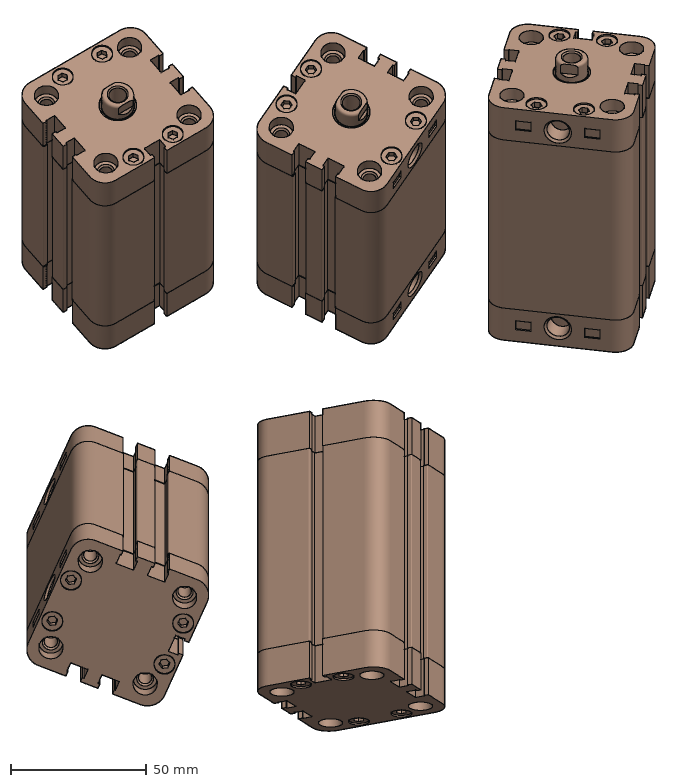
import cadquery as cq
import math

WIDTH = 54.8
HALF = WIDTH / 2
CORNER_RADIUS = 7.0
CAP_HEIGHT = 14.6
BARREL_LENGTH = 76.0
BARREL_TOP = CAP_HEIGHT + BARREL_LENGTH
TOTAL_HEIGHT = 112.0

SLOT_CENTRE = 6.3
SLOT_WIDTH = 7.0
LIP_DEPTH = 1.8
MOUTH = 5.5
CAP_MOUTH_WIDENING = 0.3
CAP_SLOT_DEPTH = 5.6
BARREL_SLOT_DEPTH = 5.4
BARREL_LIP_RADIUS = 0.3

MOUNT_OFFSET = 18.9
MOUNT_COUNTERBORE = 9.0
MOUNT_COUNTERBORE_DEPTH = 5.2
MOUNT_CHAMFER = 6.3
MOUNT_HOLE = 4.9

SCREW_X = 22.5
SCREW_Y = 9.0
SCREW_RECESS = 7.7
SCREW_RECESS_DEPTH = 0.7
SCREW_SOCKET_FLATS = 3.5
SCREW_SOCKET_DEPTH = 2.2

PORT_DROP = 8.2
PORT_HOLE = 8.5
PORT_MOUTH = 10.3
PORT_CHAMFER_DEPTH = 0.9
PORT_FLOOR_DIAMETER = 40.0
LABEL_OFFSET = 13.0
LABEL_DROP = 7.4
LABEL_WIDTH = 5.7
LABEL_HEIGHT = 4.0
LABEL_DEPTH = 0.7

ROD_DIAMETER = 12.0
ROD_EDGE_RADIUS = 1.0
ROD_FLATS = 10.1
ROD_FLAT_LENGTH = 4.3
ROD_HOLE = 6.6
ROD_HOLE_MOUTH = 7.7
ROD_HOLE_DEPTH = 16.8
BORE_FLARE = 12.5
BORE_RECESS = 13.7
BORE_RECESS_DEPTH = 0.3
BORE_RECESS_MOUTH = 14.0


def cone(base_diameter, top_diameter, height, base):
    """Upright frustum standing on the height `base`."""
    lower_end = cq.Workplane("XY", origin=(0, 0, base)).circle(base_diameter / 2)
    return lower_end.workplane(offset=height).circle(top_diameter / 2).loft()


def slot_cutter(depth, length, widening=0, lip_radius=0):
    """T-shaped slot with its mouth on the +Y face, the mouth optionally widened toward +X or rounded."""
    channel = cq.Workplane("XY").rect(SLOT_WIDTH, depth - LIP_DEPTH).extrude(length)
    channel = channel.translate((0, HALF - (depth + LIP_DEPTH) / 2, 0))
    left = -MOUTH / 2
    right = MOUTH / 2 + widening
    lip_bottom = HALF - LIP_DEPTH
    neck = cq.Workplane("XY").moveTo(left, lip_bottom).lineTo(right, lip_bottom)
    if lip_radius:
        tangent = HALF - lip_radius
        neck = (
            neck.lineTo(right, tangent)
            .radiusArc((right + lip_radius, HALF), lip_radius)
            .lineTo(left - lip_radius, HALF)
            .radiusArc((left, tangent), lip_radius)
        )
    else:
        neck = neck.lineTo(right, HALF).lineTo(left, HALF)
    return channel.union(neck.close().extrude(length))


def slotted_block(length, slot_depth, widening=0, lip_radius=0):
    """Rounded square prism standing on Z = 0 with the five sensor slots along it."""
    block = cq.Workplane("XY").rect(WIDTH, WIDTH).extrude(length)
    block = block.edges("|Z").fillet(CORNER_RADIUS)
    right_slot = slot_cutter(slot_depth, length, widening, lip_radius).translate((SLOT_CENTRE, 0, 0))
    left_slot = right_slot.mirror("YZ")
    for slot in (right_slot, left_slot):
        block = block.cut(slot).cut(slot.mirror("XZ"))
    side_slot = slot_cutter(slot_depth, length, lip_radius=lip_radius)
    return block.cut(side_slot.rotate((0, 0, 0), (0, 0, 1), -90))


def mount_hole():
    """Counterbored through hole on the Z axis, for a cap standing on Z = 0."""
    floor = CAP_HEIGHT - MOUNT_COUNTERBORE_DEPTH
    chamfer = (MOUNT_CHAMFER - MOUNT_HOLE) / 2
    hole = cq.Workplane("XY").circle(MOUNT_HOLE / 2).extrude(CAP_HEIGHT)
    counterbore = cq.Workplane("XY", origin=(0, 0, floor)).circle(MOUNT_COUNTERBORE / 2)
    return hole.union(counterbore.extrude(MOUNT_COUNTERBORE_DEPTH)).union(
        cone(MOUNT_HOLE, MOUNT_CHAMFER, chamfer, floor - chamfer)
    )


def screw_head_recess():
    """Round recess down to the screw head, with the hexagon socket below it."""
    head_top = CAP_HEIGHT - SCREW_RECESS_DEPTH
    recess = cq.Workplane("XY", origin=(0, 0, head_top)).circle(SCREW_RECESS / 2)
    recess = recess.extrude(SCREW_RECESS_DEPTH)
    across_corners = SCREW_SOCKET_FLATS / math.cos(math.pi / 6)
    socket = cq.Workplane("XY").polygon(6, across_corners).extrude(SCREW_SOCKET_DEPTH)
    socket = socket.rotate((0, 0, 0), (0, 0, 1), 90)
    return recess.union(socket.translate((0, 0, head_top - SCREW_SOCKET_DEPTH)))


def air_port():
    """Chamfered port from the -X face in to a convex cylindrical floor."""
    chamfer = cone(PORT_MOUTH, PORT_HOLE, PORT_CHAMFER_DEPTH, -HALF)
    drill = cq.Workplane("XY", origin=(0, 0, -HALF)).circle(PORT_HOLE / 2).extrude(HALF)
    port = drill.union(chamfer).rotate((0, 0, 0), (0, 1, 0), 90)
    port = port.translate((0, 0, CAP_HEIGHT - PORT_DROP))
    return port.cut(cq.Workplane("XY").circle(PORT_FLOOR_DIAMETER / 2).extrude(CAP_HEIGHT))


def cap():
    """End cap with its outer face up at Z = CAP_HEIGHT."""
    body = slotted_block(CAP_HEIGHT, CAP_SLOT_DEPTH, widening=CAP_MOUTH_WIDENING)
    for x_side in (-1, 1):
        for y_side in (-1, 1):
            body = body.cut(mount_hole().translate((x_side * MOUNT_OFFSET, y_side * MOUNT_OFFSET, 0)))
            body = body.cut(screw_head_recess().translate((x_side * SCREW_X, y_side * SCREW_Y, 0)))
    body = body.cut(air_port())
    label = cq.Workplane("XY").box(LABEL_DEPTH, LABEL_WIDTH, LABEL_HEIGHT, centered=(False, True, True))
    for y in (-LABEL_OFFSET, LABEL_OFFSET):
        body = body.cut(label.translate((-HALF, y, CAP_HEIGHT - LABEL_DROP)))
    return body


def rod_bore():
    """Through bore for the rod, flaring into a shallow chamfered recess in the outer face of the cap."""
    recess_floor = CAP_HEIGHT - BORE_RECESS_DEPTH
    flare = (BORE_FLARE - ROD_DIAMETER) / 2
    chamfer = (BORE_RECESS_MOUTH - BORE_RECESS) / 2
    bore = cq.Workplane("XY").circle(ROD_DIAMETER / 2).extrude(CAP_HEIGHT)
    recess = cq.Workplane("XY", origin=(0, 0, recess_floor)).circle(BORE_RECESS / 2)
    bore = bore.union(recess.extrude(BORE_RECESS_DEPTH))
    bore = bore.union(cone(ROD_DIAMETER, BORE_FLARE, flare, recess_floor - flare))
    return bore.union(cone(BORE_RECESS, BORE_RECESS_MOUTH, chamfer, CAP_HEIGHT - chamfer))


def piston_rod():
    """Rod standing on the barrel, with wrench flats and a chamfered blind hole at its tip."""
    rod = cq.Workplane("XY", origin=(0, 0, BARREL_TOP)).circle(ROD_DIAMETER / 2)
    rod = rod.extrude(TOTAL_HEIGHT - BARREL_TOP).faces(">Z").edges().fillet(ROD_EDGE_RADIUS)
    flat = ROD_FLATS / 2
    outside = ROD_DIAMETER / 2
    flat_bottom = TOTAL_HEIGHT - ROD_FLAT_LENGTH
    for side in (-1, 1):
        flat_cut = (
            cq.Workplane("XZ")
            .moveTo(side * flat, TOTAL_HEIGHT)
            .lineTo(side * flat, flat_bottom)
            .lineTo(side * outside, flat_bottom - (outside - flat))
            .lineTo(side * outside, TOTAL_HEIGHT)
            .close()
            .extrude(outside, both=True)
        )
        rod = rod.cut(flat_cut)
    hole = cq.Workplane("XY", origin=(0, 0, TOTAL_HEIGHT - ROD_HOLE_DEPTH)).circle(ROD_HOLE / 2)
    rod = rod.cut(hole.extrude(ROD_HOLE_DEPTH))
    chamfer = (ROD_HOLE_MOUTH - ROD_HOLE) / 2
    return rod.cut(cone(ROD_HOLE, ROD_HOLE_MOUTH, chamfer, TOTAL_HEIGHT - chamfer))


barrel = slotted_block(BARREL_LENGTH, BARREL_SLOT_DEPTH, lip_radius=BARREL_LIP_RADIUS)
barrel = barrel.translate((0, 0, CAP_HEIGHT))
bottom_cap = cap().mirror("XY").translate((0, 0, CAP_HEIGHT))
top_cap = cap().cut(rod_bore()).translate((0, 0, BARREL_TOP))
rod = piston_rod()

result = cq.Compound.makeCompound([barrel.val(), bottom_cap.val(), top_cap.val(), rod.val()])